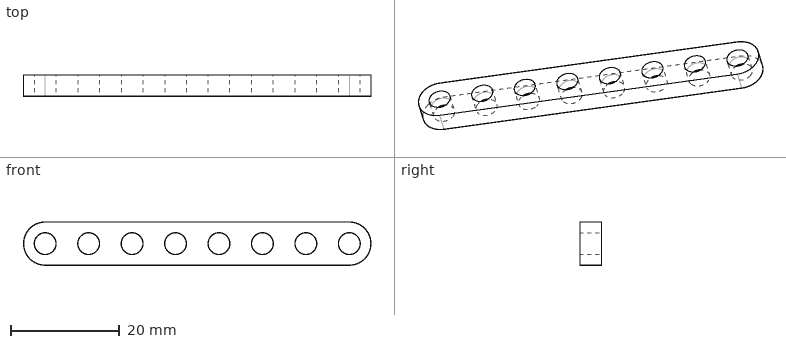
import cadquery as cq

length = 64.0
hole_count = 8
thickness = 4.0
hole_diameter = 4.0

pitch = length / hole_count
height = pitch

bar = cq.Workplane("XZ").slot2D(length, height).extrude(thickness / 2, both=True)

holes = (
    cq.Workplane("XZ")
    .rarray(pitch, height, hole_count, 1)
    .circle(hole_diameter / 2)
    .extrude(thickness, both=True)
)

result = bar.cut(holes)